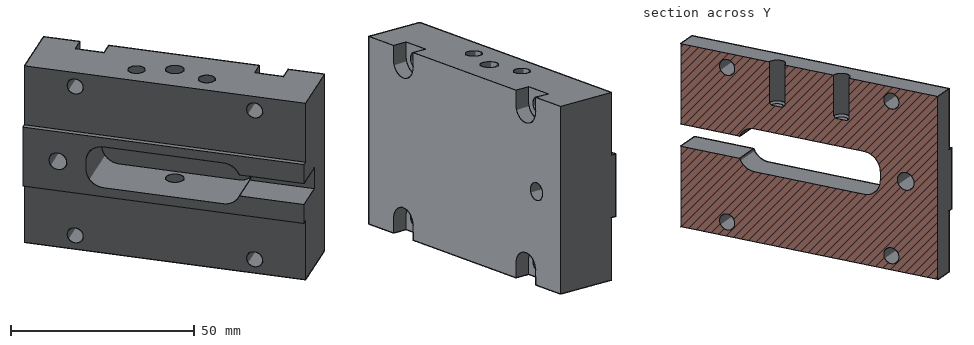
import cadquery as cq

length = 80.0
depth = 20.0
height = 54.0
mid_x = length / 2
mid_z = height / 2

rail_width = 18.0
rail_rise = 1.5

pocket_length = 44.0
pocket_width = 12.5
pocket_radius = 5.0
pocket_depth = 15.0
channel_width = 6.4
channel_depth = 10.0

mount_diameter = 4.6
mount_inset_x = 14.5
mount_inset_z = 4.2
recess_width = 8.2
recess_depth = 4.6

port_diameter = 5.0
rail_port_x = 10.0
vertical_port_y = depth - 9.0

top_hole_spacing = 20.0
top_hole_y = 8.0
top_hole_diameter = 4.6
top_hole_depth = 12.0
top_hole_tip_diameter = 3.4
top_hole_taper = (top_hole_diameter - top_hole_tip_diameter) / 2


def box(x_min, x_max, y_min, y_max, z_min, z_max):
    """Box given by its limits along each axis."""
    size = (x_max - x_min, y_max - y_min, z_max - z_min)
    return cq.Workplane("XY").box(*size, centered=False).translate((x_min, y_min, z_min))


def hole_along_y(x, z, diameter):
    """Cutter running through the full depth of the block."""
    return cq.Workplane("XZ", origin=(x, 0, z)).circle(diameter / 2).extrude(-depth)


def hole_from_top(x, y, diameter, hole_depth):
    """Cutter running down from the top face."""
    return cq.Workplane("XY", origin=(x, y, height)).circle(diameter / 2).extrude(-hole_depth)


def taper_from_top(x, y):
    """Conical cutter at 45 degrees, narrowing below the straight part of a top hole."""
    cone = cq.Solid.makeCone(
        top_hole_diameter / 2,
        top_hole_tip_diameter / 2,
        top_hole_taper,
        cq.Vector(x, y, height - top_hole_depth),
        cq.Vector(0, 0, -1),
    )
    return cq.Workplane(cone)


def make_body():
    block = box(0, length, rail_rise, depth, 0, height)
    rail = box(0, length, 0, depth, mid_z - rail_width / 2, mid_z + rail_width / 2)
    return block.union(rail)


def make_pocket():
    half_length = pocket_length / 2
    half_width = pocket_width / 2
    pocket = box(
        mid_x - half_length, mid_x + half_length, 0, pocket_depth, mid_z - half_width, mid_z + half_width
    )
    pocket = pocket.edges("|Y").fillet(pocket_radius)
    channel = box(mid_x, length, 0, channel_depth, mid_z - channel_width / 2, mid_z + channel_width / 2)
    return pocket.union(channel)


def make_recess(x, z, edge_z):
    """Round-ended recess that opens through the nearby top or bottom edge."""
    round_end = (
        cq.Workplane("XZ", origin=(x, depth, z)).circle(recess_width / 2).extrude(recess_depth)
    )
    opening = box(
        x - recess_width / 2,
        x + recess_width / 2,
        depth - recess_depth,
        depth,
        min(z, edge_z),
        max(z, edge_z),
    )
    return round_end.union(opening)


result = make_body().cut(make_pocket())

for mount_x in (mount_inset_x, length - mount_inset_x):
    for mount_z, edge_z in ((mount_inset_z, 0), (height - mount_inset_z, height)):
        result = result.cut(hole_along_y(mount_x, mount_z, mount_diameter))
        result = result.cut(make_recess(mount_x, mount_z, edge_z))

result = result.cut(hole_along_y(rail_port_x, mid_z, port_diameter))
result = result.cut(hole_from_top(mid_x, vertical_port_y, port_diameter, height))

for side in (-1, 1):
    hole_x = mid_x + side * top_hole_spacing / 2
    result = result.cut(hole_from_top(hole_x, top_hole_y, top_hole_diameter, top_hole_depth))
    result = result.cut(taper_from_top(hole_x, top_hole_y))